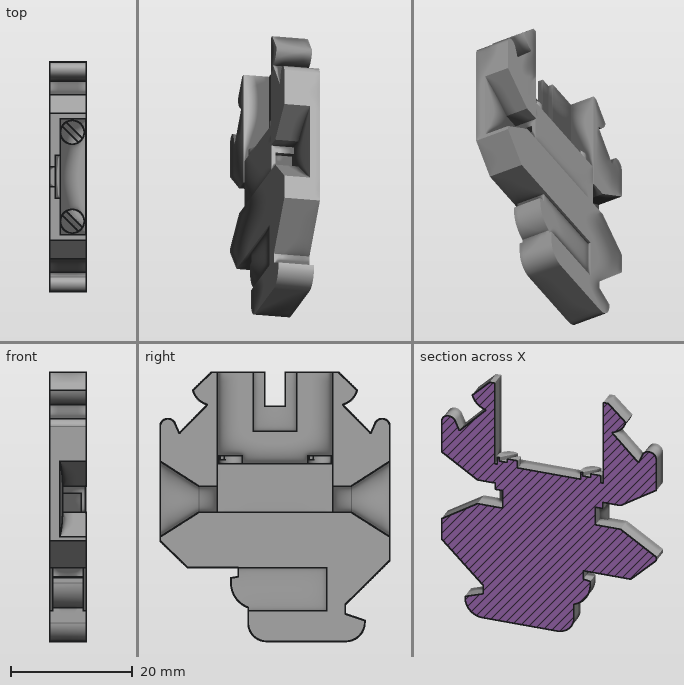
import cadquery as cq
import math

thickness = 6.0
width = 37.7
height = 44.2
half_width = width / 2

crown_half = 10.4
ear_tip = (13.5, 41.2)
ear_belly = (12.9, 40.05)
ear_root = (11.1, 38.85)
horn_root = (15.7, 34.15)
horn_radius = 1.3
horn_center_z = 35.25

front_bevel_y = -14.3
front_bevel_z = 16.5
body_floor_z = 12.1
tongue_root_y = -6.05
tongue_shoulder_z = 10.65
tongue_tip_y = -7.25
tongue_tip_z = 10.45
tongue_arc_z = 9.65
tongue_arc_radius = 4.35
foot_front_y = -4.4
foot_front_radius = 3.05
foot_back_y = 14.75
foot_back_radius = 3.2
hook_tip_z = 3.45
neck_y = 11.55
hook_root_z = 4.55
neck_top_z = 6.05
back_bevel_z = 13.3

recess_depth = 0.55
recess_back_y = 8.5
recess_floor_z = 5.05

slot_width = 3.3
slot_depth = 5.6
thin_wall = 0.9
thinned_width = 7.05
thinned_depth = 9.72

side_wall = 1.72
well_half = 9.5
deck_z = 29.15
clamp_gap = 0.15

screw_x = 3.7
screw_y = 7.3
screw_radius = 1.95
screw_head = 1.33
screw_slot_width = 0.95
screw_slot_depth = 0.65
screw_slot_angle = -45

mouth_x = 1.7
mouth_bottom_z = 17.15
mouth_top_z = 29.55
throat_x = 2.1
throat_bottom_z = 21.15
throat_top_z = 25.5
funnel_depth = 6.3
cage_opening_x = 5.2
cage_opening_top_z = 24.35
cage_opening_depth = 1.33


def box(x0, x1, y0, y1, z0, z1):
    """Axis-aligned block between the given limits."""
    return cq.Workplane("XY").box(x1 - x0, y1 - y0, z1 - z0, centered=False).translate((x0, y0, z0))


def mirrored(point):
    return (-point[0], point[1])


def arc_point(center_y, center_z, radius, degrees):
    angle = math.radians(degrees)
    return (center_y + radius * math.cos(angle), center_z + radius * math.sin(angle))


def body():
    """Full outline in the YZ plane, extruded through the thickness."""
    horn_center_y = half_width - horn_radius
    root_y = horn_root[0] - horn_center_y
    root_z = horn_root[1] - horn_center_z
    root_distance = math.hypot(root_y, root_z)
    root_direction = math.degrees(math.atan2(root_z, root_y))
    flank_angle = root_direction - math.degrees(math.acos(horn_radius / root_distance)) + 360
    horn_flank = arc_point(horn_center_y, horn_center_z, horn_radius, flank_angle)
    horn_top = arc_point(horn_center_y, horn_center_z, horn_radius, 90)

    tongue_center_y = tongue_tip_y + tongue_arc_radius
    tongue_end_angle = 180 + math.degrees(math.acos((tongue_center_y - foot_front_y) / tongue_arc_radius))
    tongue_middle = arc_point(tongue_center_y, tongue_arc_z, tongue_arc_radius, (180 + tongue_end_angle) / 2)
    tongue_end = arc_point(tongue_center_y, tongue_arc_z, tongue_arc_radius, tongue_end_angle)

    front_center_y = foot_front_y + foot_front_radius
    back_center_y = foot_back_y - foot_back_radius

    outline = (
        cq.Workplane("YZ")
        .moveTo(-crown_half, height)
        .lineTo(crown_half, height)
        .lineTo(*ear_tip)
        .threePointArc(ear_belly, ear_root)
        .lineTo(*horn_root)
        .lineTo(*horn_flank)
        .threePointArc(horn_top, (half_width, horn_center_z))
        .lineTo(half_width, back_bevel_z)
        .lineTo(neck_y, neck_top_z)
        .lineTo(neck_y, hook_root_z)
        .lineTo(foot_back_y, hook_tip_z)
        .lineTo(foot_back_y, foot_back_radius)
        .threePointArc(
            arc_point(back_center_y, foot_back_radius, foot_back_radius, -45),
            (back_center_y, 0),
        )
        .lineTo(front_center_y, 0)
        .threePointArc(
            arc_point(front_center_y, foot_front_radius, foot_front_radius, -135),
            (foot_front_y, foot_front_radius),
        )
        .lineTo(*tongue_end)
        .threePointArc(tongue_middle, (tongue_tip_y, tongue_arc_z))
        .lineTo(tongue_tip_y, tongue_tip_z)
        .lineTo(tongue_root_y, tongue_shoulder_z)
        .lineTo(tongue_root_y, body_floor_z)
        .lineTo(front_bevel_y, body_floor_z)
        .lineTo(-half_width, front_bevel_z)
        .lineTo(-half_width, horn_center_z)
        .threePointArc(mirrored(horn_top), mirrored(horn_flank))
        .lineTo(*mirrored(horn_root))
        .lineTo(*mirrored(ear_root))
        .threePointArc(mirrored(ear_belly), mirrored(ear_tip))
        .close()
    )
    return outline.extrude(thickness)


def foot_recesses():
    """Shallow cuts in both flat sides, reaching past the tip of the tongue."""
    limits = (tongue_tip_y, recess_back_y, recess_floor_z, body_floor_z)
    near = box(0, recess_depth, *limits)
    far = box(thickness - recess_depth, thickness, *limits)
    return near.union(far)


def marker_slot():
    through = box(0, side_wall, -slot_width / 2, slot_width / 2, height - slot_depth, height)
    thinned = box(
        thin_wall, side_wall, -thinned_width / 2, thinned_width / 2, height - thinned_depth, height
    )
    return through.union(thinned)


def screw_well():
    """Open well down to the deck, and the clearance over the clamp block below it."""
    well = box(side_wall, thickness, -well_half, well_half, deck_z, height)
    clearance = box(
        thickness - clamp_gap, thickness, -well_half, well_half, throat_bottom_z, deck_z
    )
    return well.union(clearance)


def screw(y):
    """Slotted cylindrical screw head standing on the deck."""
    head = cq.Workplane("XY").circle(screw_radius).extrude(screw_head)
    slot = (
        cq.Workplane("XY", origin=(0, 0, screw_head - screw_slot_depth))
        .rect(2 * screw_radius, screw_slot_width)
        .extrude(screw_slot_depth)
        .rotate((0, 0, 0), (0, 0, 1), screw_slot_angle)
    )
    return head.cut(slot).translate((screw_x, y, deck_z))


def wire_entry():
    """Funnel, throat and cage opening at the -Y end, open to +X."""
    throat_y = funnel_depth - half_width
    side = (
        cq.Workplane("YZ")
        .moveTo(-half_width, mouth_bottom_z)
        .lineTo(throat_y, throat_bottom_z)
        .lineTo(-well_half, throat_bottom_z)
        .lineTo(-well_half, throat_top_z)
        .lineTo(throat_y, throat_top_z)
        .lineTo(-half_width, mouth_top_z)
        .close()
        .extrude(thickness)
    )
    inward = throat_x - mouth_x
    wall_radius = (funnel_depth**2 + inward**2) / (2 * inward)
    half_angle = math.asin(funnel_depth / wall_radius) / 2
    wall_middle = (
        throat_x - wall_radius * (1 - math.cos(half_angle)),
        throat_y - wall_radius * math.sin(half_angle),
    )
    plan = (
        cq.Workplane("XY")
        .moveTo(thickness, -half_width)
        .lineTo(mouth_x, -half_width)
        .threePointArc(wall_middle, (throat_x, throat_y))
        .lineTo(throat_x, -well_half)
        .lineTo(thickness, -well_half)
        .close()
        .extrude(height)
    )
    cage_opening = box(
        throat_x, cage_opening_x, -well_half, cage_opening_depth - well_half,
        throat_bottom_z, cage_opening_top_z,
    )
    return side.intersect(plan).union(cage_opening)


entry = wire_entry()
result = (
    body()
    .cut(foot_recesses())
    .cut(marker_slot())
    .cut(screw_well())
    .cut(entry)
    .cut(entry.mirror("XZ"))
)
for side in (-1, 1):
    result = result.union(screw(side * screw_y))